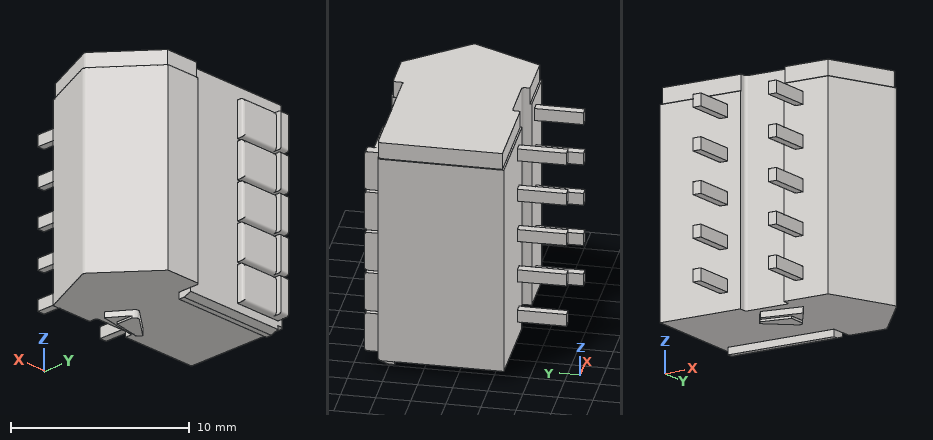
import cadquery as cq


overall_height = 14.2
poles = 5
pitch = 2.54
housing_height = 12.7
cap_height = 1.0
cap_inset = 0.1
housing_top = housing_height + cap_height

edge_tolerance = 0.01
cut_overrun = 0.14

depth = 7.9
nose_root_front = 11.15
nose_root_rear = 10.04
nose_tip_x = 13.05
nose_tip_y = 4.19
nose_radius = 0.34

ledge_y = 7.21
ledge_end = 7.53
end_corner_radius = 0.23
ledge_corner_radius = 0.2

groove_start = 5.32
groove_width = 2.88
groove_depth = 0.55
groove_radius = 0.18

pin_width = 0.51
pin_height = 0.75
pin_length = 2.8
first_pin_x = 4.23
pin_row_spacing = 5.0
first_pin_z = 1.48
pin_overlap = 0.28

tab_height = 2.39
tab_start = 0.5
tab_step_x = 1.11
tab_end = 3.76
tab_tall_y = 8.05
tab_low_y = 7.67
tab_radius = 0.17

rear_lug_end = ledge_end
rear_lug_front_y = 6.32
rear_lug_slope_y = 6.7
rear_lug_depth = 0.44
rear_lug_edge_depth = 0.24

lug_base_depth = 0.37
lug_full_depth = overall_height - housing_top
lug_point = (5.58, 1.6)
lug_front_corner = (6.0, 1.05)
lug_end_corner = (8.56, 1.49)
lug_rear_corner = (7.45, 3.12)
lug_step_start_y = 1.26
lug_step_corner = (7.68, 1.65)
lug_radius = 0.25


def block(x0, x1, y0, y1, z0, z1):
    """Box between opposite corners."""
    return cq.Workplane("XY").box(x1 - x0, y1 - y0, z1 - z0, centered=False).translate((x0, y0, z0))


def vertical_edge_at(x, y):
    """Selector for the vertical edge through (x, y)."""
    low_corner = (x - edge_tolerance, y - edge_tolerance, -edge_tolerance)
    high_corner = (x + edge_tolerance, y + edge_tolerance, housing_top + edge_tolerance)
    return cq.selectors.BoxSelector(low_corner, high_corner)


def housing_layer(inset, z0, height):
    """Slab of the housing outline, drawn in by inset on its outer sides."""
    outline = [
        (0, 0),
        (nose_root_front, 0),
        (nose_tip_x, nose_tip_y),
        (nose_root_rear, depth),
        (0, depth),
    ]
    slab = cq.Workplane("XY").polyline(outline).close().extrude(height)
    slab = slab.edges(">X and |Z").fillet(nose_radius)
    if inset > 0:
        base_wire = slab.faces("<Z").wires().toPending()
        slab = base_wire.offset2D(-inset, "intersection").extrude(height, combine=False)
    slab = slab.cut(block(-cut_overrun, ledge_end, ledge_y, depth + cut_overrun, 0, height))
    slab = slab.edges(vertical_edge_at(inset, ledge_y)).fillet(end_corner_radius)
    slab = slab.edges(vertical_edge_at(ledge_end, depth - inset)).fillet(ledge_corner_radius)
    return slab.translate((0, 0, z0))


def groove():
    """Full-height channel with rounded inner corners."""
    channel = block(groove_start, groove_start + groove_width, -cut_overrun, groove_depth, 0, housing_top)
    return channel.edges("|Z and >Y").fillet(groove_radius)


def pin(x, z):
    """Rectangular pin pointing along -Y, centred on (x, z)."""
    shank = cq.Workplane("XY").box(pin_width, pin_length + pin_overlap, pin_height)
    return shank.translate((x, (pin_overlap - pin_length) / 2, z))


def push_tab(z):
    """L-shaped tab on the rear ledge with rounded outer edges, centred on z."""
    bottom = z - tab_height / 2
    top = z + tab_height / 2
    root_y = ledge_y - tab_radius
    low = block(tab_start, tab_end, root_y, tab_low_y, bottom, top)
    low = low.faces(">Y").edges("|X or >X").fillet(tab_radius)
    tall = block(tab_start, tab_step_x, root_y, tab_tall_y, bottom, top)
    tall = tall.faces(">Y").edges("|X").fillet(tab_radius)
    return low.union(tall)


def rear_lug():
    """Rail under the ledge, shallower towards +Y."""
    section = [
        (rear_lug_front_y, 0),
        (rear_lug_front_y, -rear_lug_depth),
        (rear_lug_slope_y, -rear_lug_depth),
        (ledge_y, -rear_lug_edge_depth),
        (ledge_y, 0),
    ]
    rail = cq.Workplane("YZ").polyline(section).close().extrude(rear_lug_end - tab_start)
    return rail.translate((tab_start, 0, 0))


def lug_wedge(wedge_depth):
    """Wedge hanging below the housing with its +Y corner rounded."""
    points = [lug_point, lug_front_corner, lug_end_corner, lug_rear_corner]
    wedge = cq.Workplane("XY").polyline(points).close().extrude(-wedge_depth)
    return wedge.edges("|Z and >Y").fillet(lug_radius)


def front_lug():
    """Wedge that is full depth only behind a step along its front and end sides."""
    step_outline = [
        (lug_point[0], lug_step_start_y),
        lug_step_corner,
        (lug_step_corner[0], lug_rear_corner[1]),
        (lug_point[0], lug_rear_corner[1]),
    ]
    behind_step = cq.Workplane("XY").polyline(step_outline).close().extrude(-lug_full_depth)
    return lug_wedge(lug_base_depth).union(lug_wedge(lug_full_depth).intersect(behind_step))


result = housing_layer(0, 0, housing_height)
result = result.union(housing_layer(cap_inset, housing_height, cap_height))
result = result.cut(groove())

for pole in range(poles):
    pole_z = first_pin_z + pole * pitch
    for row_x in (first_pin_x, first_pin_x + pin_row_spacing):
        result = result.union(pin(row_x, pole_z))
    result = result.union(push_tab(pole_z))

result = result.union(rear_lug())
result = result.union(front_lug())